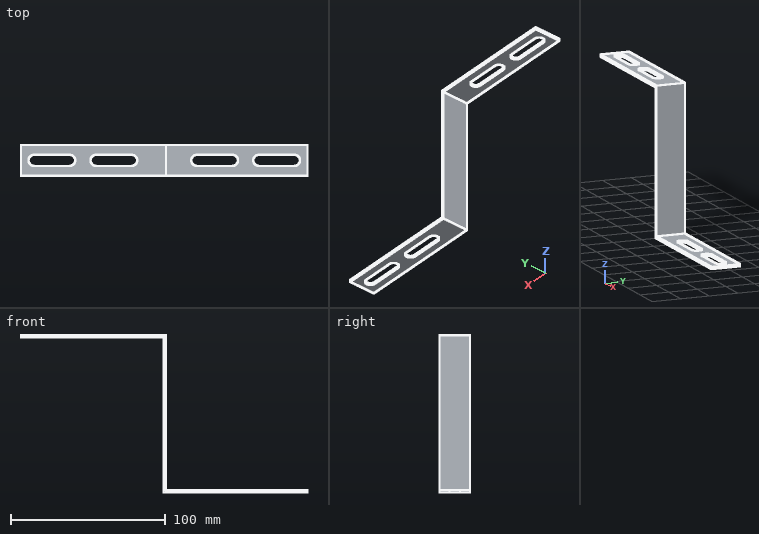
import cadquery as cq

strip_width = 20.0
sheet_thickness = 1.5
total_height = 101.5

upper_flange_length = 93.5
lower_flange_length = 93.0

slot_length = 30.0
slot_width = 7.0
slot_end_margin = 5.0
slot_pitch = 40.0
slots_per_flange = 2

total_length = upper_flange_length + lower_flange_length - sheet_thickness

half_length = total_length / 2
half_height = total_height / 2
web_left_x = half_length - lower_flange_length
web_right_x = upper_flange_length - half_length


def make_strip():
    """Z-shaped strip: upper flange towards -X, upright web, lower flange towards +X."""
    profile = [
        (-half_length, half_height - sheet_thickness),
        (-half_length, half_height),
        (web_right_x, half_height),
        (web_right_x, -half_height + sheet_thickness),
        (half_length, -half_height + sheet_thickness),
        (half_length, -half_height),
        (web_left_x, -half_height),
        (web_left_x, half_height - sheet_thickness),
    ]
    return (
        cq.Workplane("XZ")
        .polyline(profile)
        .close()
        .extrude(strip_width / 2, both=True)
    )


def make_slot_cutters():
    """Full-height cutters for the slots, stepping inwards from the free end of each flange."""
    outer_slot_x = half_length - slot_end_margin - slot_length / 2
    slot_distances = [outer_slot_x - i * slot_pitch for i in range(slots_per_flange)]
    slot_centres = [(side * x, 0) for side in (-1, 1) for x in slot_distances]
    return (
        cq.Workplane("XY")
        .pushPoints(slot_centres)
        .slot2D(slot_length, slot_width)
        .extrude(half_height, both=True)
    )


result = make_strip().cut(make_slot_cutters())